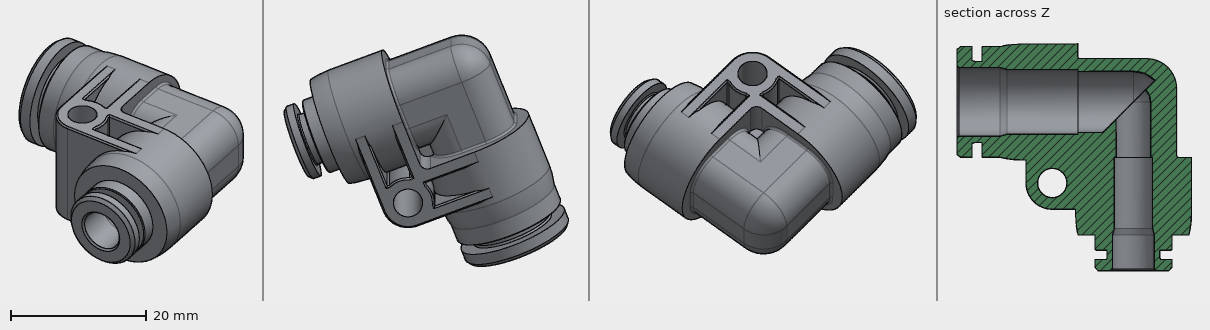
import cadquery as cq


SHELL_RADIUS = 8.6
SHELL_START = 8.2
SHELL_STRAIGHT_END = 16.7
SHELL_END = 19.7
SHELL_END_RADIUS = 8.22

LARGE_COLLET_RADIUS = SHELL_END_RADIUS
LARGE_NECK_RADIUS = 6.03
LARGE_GROOVE_START = 22.4
LARGE_GROOVE_END = 23.87
LARGE_REACH = 26.1
LARGE_NECK_FLARE = (0.35, 0.15)
LARGE_RIM_CHAMFER = (0.55, 0.42)
LARGE_LIP_CHAMFER = 0.1
SMALL_COLLET_RADIUS = 5.72
SMALL_NECK_RADIUS = 3.92
SMALL_GROOVE_START = 21.95
SMALL_GROOVE_END = 23.3
SMALL_REACH = 25.0
SMALL_NECK_FLARE = (0.2, 0.15)
SMALL_RIM_CHAMFER = (0.54, 0.5)
SMALL_LIP_CHAMFER = 0.15

LARGE_PASSAGE = 4.5
LARGE_TUBE_SEAT = 4.78
LARGE_TUBE_ENTRY = 5.07
SMALL_PASSAGE = 2.53
SMALL_TUBE_SEAT = 2.82
SMALL_TUBE_ENTRY = 3.08
MOUTH_CHAMFER = 0.29
ENTRY_TAPER_LENGTH = 1.0
TUBE_STOP = SHELL_START

ELBOW_HALF = 6.43
ELBOW_ROUND = 4.5
ELBOW_ROOT_FILLET = 0.33
ROOT_MARGIN = 0.1
WEB_HALF_HEIGHT = 2.5

BRACKET_HALF_HEIGHT = SHELL_RADIUS
HOLE_CENTRE = -12.0
HOLE_RADIUS = 2.15
CORNER_RADIUS = 3.9
BRACKET_OUTER = HOLE_CENTRE - CORNER_RADIUS
BRACKET_INNER = -SHELL_START
BRACKET_INNER_FILLET = 1.2
POCKET_HALF_WIDTH = 1.95
POCKET_FLOOR = -8.5
BOSS_RADIUS = 3.85
EDGE_CHAMFER = 0.25
OVERLAP = 5.0


def large_port_profile():
    """Sketch plane whose local x runs outwards along -X, for turned outlines."""
    return cq.Workplane(cq.Plane(origin=(0, 0, 0), xDir=(-1, 0, 0), normal=(0, 0, 1)))


def small_port_profile():
    """Sketch plane whose local x runs outwards along -Y, for turned outlines."""
    return cq.Workplane(cq.Plane(origin=(0, 0, 0), xDir=(0, -1, 0), normal=(0, 0, 1)))


def turn(profile):
    """Solid of revolution about the port axis."""
    return profile.close().revolve(360, (0, 0, 0), (1, 0, 0))


def shell(plane):
    """Round housing of one port, drawn in to its mouth by a tangent arc."""
    outline = (
        plane.moveTo(SHELL_START, 0)
        .lineTo(SHELL_START, SHELL_RADIUS)
        .lineTo(SHELL_STRAIGHT_END, SHELL_RADIUS)
        .tangentArcPoint((SHELL_END, SHELL_END_RADIUS), relative=False)
        .lineTo(SHELL_END, 0)
    )
    return turn(outline)


def collet(plane, radius, neck, groove_start, groove_end, reach, flare, rim, lip):
    """Release collet with a chamfered rim and a groove behind it, rooted inside the shell."""
    flare_length, flare_rise = flare
    rim_length, rim_drop = rim
    outline = plane.polyline([
        (SHELL_START, 0),
        (SHELL_START, neck),
        (SHELL_STRAIGHT_END, neck),
        (SHELL_STRAIGHT_END, radius),
        (groove_start - lip, radius),
        (groove_start, radius - lip),
        (groove_start, neck),
        (groove_end - flare_length, neck),
        (groove_end, neck + flare_rise),
        (groove_end, radius),
        (reach - rim_length, radius),
        (reach, radius - rim_drop),
        (reach, 0),
    ])
    return turn(outline)


def bore(plane, passage, seat, entry, reach):
    """Passage with a spherical end at the origin, tube seat, tapered entry and chamfered mouth."""
    outline = plane.polyline([
        (0, 0),
        (0, passage),
        (TUBE_STOP, passage),
        (TUBE_STOP, seat),
        (SHELL_END - ENTRY_TAPER_LENGTH, seat),
        (SHELL_END, entry),
        (reach - MOUTH_CHAMFER, entry),
        (reach, entry + MOUTH_CHAMFER),
        (reach, 0),
    ])
    return turn(outline).union(cq.Workplane("XY").sphere(passage))


def elbow():
    """L-shaped tube with a rounded-square section."""
    arm_end = -(SHELL_START + OVERLAP)
    tube = (
        cq.Workplane("XY")
        .workplane(offset=-ELBOW_HALF)
        .polyline([
            (arm_end, ELBOW_HALF),
            (ELBOW_HALF, ELBOW_HALF),
            (ELBOW_HALF, arm_end),
            (-ELBOW_HALF, arm_end),
            (-ELBOW_HALF, -ELBOW_HALF),
            (arm_end, -ELBOW_HALF),
        ])
        .close()
        .extrude(2 * ELBOW_HALF)
    )
    tube = tube.edges("|Z and >X and >Y").fillet(ELBOW_ROUND)
    return tube.faces(">Z or <Z").edges("not(<X or <Y)").fillet(ELBOW_ROUND)


def web():
    """Plate that fills the gap between the elbow's inner corner and the bracket."""
    size = 2 * (SHELL_START - ELBOW_HALF) + BRACKET_INNER_FILLET
    centre = -(SHELL_START + ELBOW_HALF) / 2
    return cq.Workplane("XY").box(size, size, 2 * WEB_HALF_HEIGHT).translate((centre, centre, 0))


def shells_and_elbow():
    """Both port shells joined by the elbow tube, with a small fillet where the tube leaves them."""
    joined = shell(large_port_profile()).union(shell(small_port_profile())).union(elbow())
    half = ELBOW_HALF + ROOT_MARGIN
    near = -SHELL_START - ROOT_MARGIN
    far = -SHELL_START + ROOT_MARGIN
    large_root = cq.selectors.BoxSelector((near, -half, -half), (far, half, half), boundingbox=True)
    small_root = cq.selectors.BoxSelector((-half, near, -half), (half, far, half), boundingbox=True)
    return joined.edges(large_root + small_root).fillet(ELBOW_ROOT_FILLET)


def block(x_min, x_max, y_min, y_max):
    """Box over the full bracket height."""
    size = (x_max - x_min, y_max - y_min, 2 * BRACKET_HALF_HEIGHT)
    return cq.Workplane("XY").box(*size).translate(((x_min + x_max) / 2, (y_min + y_max) / 2, 0))


def bracket():
    """Corner block with a screw boss and two pairs of ribs that run out on top of the shells."""
    far = 2 * OVERLAP
    plate = block(BRACKET_OUTER, OVERLAP, BRACKET_OUTER, OVERLAP)
    plate = plate.edges("|Z and <X and <Y").fillet(CORNER_RADIUS)

    low = HOLE_CENTRE - POCKET_HALF_WIDTH
    high = HOLE_CENTRE + POCKET_HALF_WIDTH
    boss = (
        cq.Workplane("XY")
        .center(HOLE_CENTRE, HOLE_CENTRE)
        .circle(BOSS_RADIUS)
        .extrude(BRACKET_HALF_HEIGHT, both=True)
    )
    plate = plate.cut(block(low, high, POCKET_FLOOR, far).cut(boss))
    plate = plate.cut(block(POCKET_FLOOR, far, low, high).cut(boss))
    plate = plate.faces(">Z or <Z").edges().chamfer(EDGE_CHAMFER)

    notch = block(BRACKET_INNER, far, BRACKET_INNER, far)
    plate = plate.cut(notch.edges("|Z and <X and <Y").fillet(BRACKET_INNER_FILLET))
    plate = plate.cut(block(0, far, BRACKET_OUTER - OVERLAP, far))
    return plate.cut(block(BRACKET_OUTER - OVERLAP, far, 0, far))


def screw_hole():
    """Cutter for the through hole in the bracket corner."""
    return (
        cq.Workplane("XY")
        .center(HOLE_CENTRE, HOLE_CENTRE)
        .circle(HOLE_RADIUS)
        .extrude(2 * BRACKET_HALF_HEIGHT, both=True)
    )


def port_bores():
    """Both bores; the wide one stops at the flat mitre plane x = y, where the narrow one takes over."""
    wide = bore(large_port_profile(), LARGE_PASSAGE, LARGE_TUBE_SEAT, LARGE_TUBE_ENTRY, LARGE_REACH)
    narrow = bore(small_port_profile(), SMALL_PASSAGE, SMALL_TUBE_SEAT, SMALL_TUBE_ENTRY, SMALL_REACH)
    mitre = cq.Plane(origin=(0, 0, 0), xDir=(0, 0, 1), normal=(1, -1, 0))
    beyond_mitre = cq.Workplane(mitre).circle(2 * LARGE_PASSAGE).extrude(2 * LARGE_PASSAGE)
    return wide.cut(beyond_mitre).union(narrow)


large_collet = collet(
    large_port_profile(),
    LARGE_COLLET_RADIUS,
    LARGE_NECK_RADIUS,
    LARGE_GROOVE_START,
    LARGE_GROOVE_END,
    LARGE_REACH,
    LARGE_NECK_FLARE,
    LARGE_RIM_CHAMFER,
    LARGE_LIP_CHAMFER,
)
small_collet = collet(
    small_port_profile(),
    SMALL_COLLET_RADIUS,
    SMALL_NECK_RADIUS,
    SMALL_GROOVE_START,
    SMALL_GROOVE_END,
    SMALL_REACH,
    SMALL_NECK_FLARE,
    SMALL_RIM_CHAMFER,
    SMALL_LIP_CHAMFER,
)

body = shells_and_elbow().union(web()).union(bracket())
body = body.union(large_collet).union(small_collet)
result = body.cut(screw_hole()).cut(port_bores())